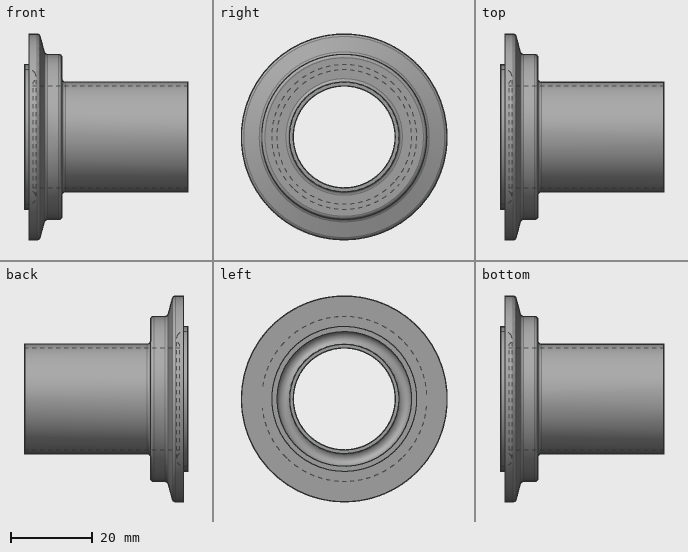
import cadquery as cq
import math

total_length = 40.0
boss_height = 1.0
flange_rim_end = 3.65
hub_end = 9.15

flange_radius = 25.25
hub_radius = 20.25
boss_radius = 17.8
tube_radius = 13.5
bore_radius = 12.45

cone_angle = 15.0
edge_radius = 0.8
cone_end = flange_rim_end + (flange_radius - hub_radius) * math.tan(math.radians(cone_angle))

groove_outer_radius = 16.5
lip_radius = 13.4
groove_wall_depth = boss_height
lip_depth = 2.0

groove_width = groove_outer_radius - lip_radius
lip_drop = lip_depth - groove_wall_depth
groove_round = (groove_width**2 + lip_drop**2) / (2 * groove_width)


def cylinder(radius, start, end):
    return cq.Workplane("YZ", origin=(start, 0, 0)).circle(radius).extrude(end - start)


def revolve_about_x(profile):
    return profile.revolve(360, (0, 0, 0), (1, 0, 0))


def flanged_tube():
    """Flange, hub and tube, with all edges behind the flange rounded."""
    body = revolve_about_x(
        cq.Workplane("XY")
        .moveTo(boss_height, 0)
        .lineTo(boss_height, flange_radius)
        .lineTo(flange_rim_end, flange_radius)
        .lineTo(cone_end, hub_radius)
        .lineTo(hub_end, hub_radius)
        .lineTo(hub_end, tube_radius)
        .lineTo(total_length, tube_radius)
        .lineTo(total_length, 0)
        .close()
    )
    rounded_zone = cq.selectors.BoxSelector(
        (boss_height + edge_radius, -flange_radius, -flange_radius),
        (hub_end + edge_radius, flange_radius, flange_radius),
    )
    return body.edges("%CIRCLE").edges(rounded_zone).fillet(edge_radius)


def mouth_groove():
    """Cutter for the recessed mouth: straight wall, round floor, then the lip."""
    round_center_radius = groove_outer_radius - groove_round
    floor_depth = groove_wall_depth + groove_round
    return revolve_about_x(
        cq.Workplane("XY")
        .lineTo(0, groove_outer_radius)
        .lineTo(groove_wall_depth, groove_outer_radius)
        .threePointArc((floor_depth, round_center_radius), (lip_depth, lip_radius))
        .lineTo(lip_depth, 0)
        .close()
    )


boss = cylinder(boss_radius, 0, boss_height)
bore = cylinder(bore_radius, 0, total_length)
result = flanged_tube().union(boss).cut(mouth_groove()).cut(bore)